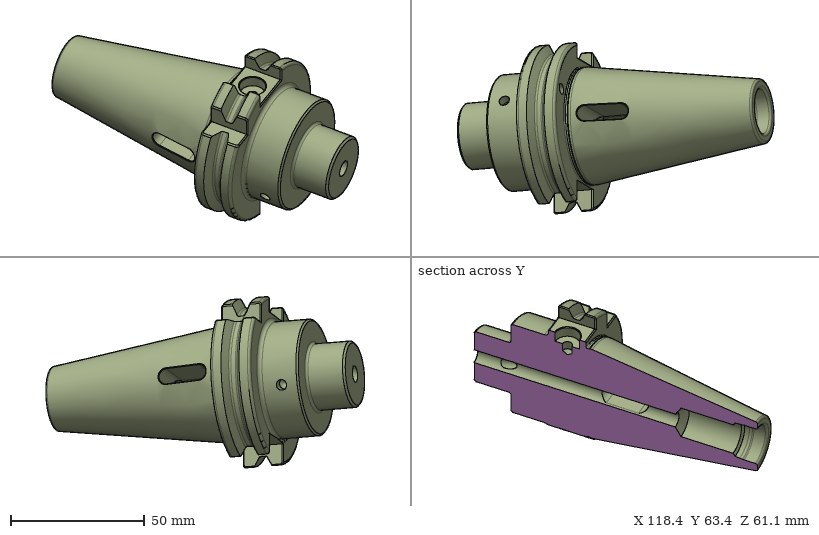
import cadquery as cq
import math


total_length = 118.4
taper_length = 69.0
taper_large_radius = 22.3
taper_ratio = 7 / 24
small_end_radius = taper_large_radius - taper_length * taper_ratio / 2
small_end_fillet = 1.0
gauge_land_end = 70.0
neck_start = 70.3
neck_radius = 22.0
neck_fillet = 0.5
collar_radius = 22.0
collar_end = 103.0
collar_fillet = 1.5
collar_chamfer = 0.7
spigot_radius = 12.5
spigot_base_fillet = 1.0
spigot_chamfer = 0.8

flange_start = 71.5
flange_width = 15.9
flange_end = flange_start + flange_width
flange_middle = flange_start + flange_width / 2
flange_radius = 31.7
flange_rim_fillet = 1.1
groove_mouth = 7.1
groove_floor_radius = 28.0
groove_half_angle = math.radians(30)
groove_fillet = 0.89

slot_width = 16.1
top_slot_floor = 25.0
bottom_slot_floor = 22.5
notch_corner = 18.4
cut_chamfer = 0.5

bore_mouth_fillet = 1.0
counterbore_radius = 8.5
counterbore_depth = 5.7
seat_radius = 8.4
seat_start = 6.3
seat_end = 7.5
funnel_radius = 8.2
funnel_end = 9.4
thread_radius = 7.0
thread_start = 10.2
thread_depth = 32.0
through_radius = 3.1
drill_half_angle = math.radians(59)

cross_slot_middle = 56.8
cross_slot_length = 19.4
cross_slot_width = 5.9
cross_slot_chamfer = 0.3

chip_radius = 5.0
chip_chamfer = 0.3
chip_depth = 4.5
chip_pilot_radius = 1.9
chip_pilot_depth = 3.5

channel_radius = 1.9
channel_tilt = 20
channel_mouth_offset = 26.6
channel_slope = math.radians(35)
channel_lead = 4.7
side_hole_radius = 2.0
side_hole_x = 96.1
side_hole_depth = 4.1

tolerance = 0.01


def revolve_about_x(outline):
    """Close an open half outline and turn it about the X axis."""
    return outline.close().revolve(360, (0, 0, 0), (1, 0, 0))


def fillet_sag(radius):
    """Distance along each side from a right-angle corner to the middle of its fillet arc."""
    return radius * (1 - math.sqrt(0.5))


def fillet_corners(solid, x, radius, fillet):
    """Fillet the circular edge of the given radius that lies at x."""
    box = cq.selectors.BoxSelector(
        (x - tolerance, -radius - tolerance, -radius - tolerance),
        (x + tolerance, radius + tolerance, radius + tolerance),
        boundingbox=True,
    )
    edges = solid.edges("%CIRCLE").edges(box)
    circles = [edge for edge in edges.vals() if abs(edge.radius() - radius) < tolerance]
    return solid.newObject(circles).fillet(fillet)


def make_shank():
    """Taper, neck, collar and spigot as one turned body, with fillets up to the flange sides."""
    neck_sag = fillet_sag(neck_fillet)
    neck_arc_middle = (flange_start - neck_sag, neck_radius + neck_sag)
    collar_sag = fillet_sag(collar_fillet)
    collar_arc_middle = (flange_end + collar_sag, collar_radius + collar_sag)
    outline = (
        cq.Workplane("XZ")
        .lineTo(0, small_end_radius)
        .lineTo(taper_length, taper_large_radius)
        .lineTo(gauge_land_end, taper_large_radius)
        .lineTo(neck_start, neck_radius)
        .lineTo(flange_start - neck_fillet, neck_radius)
        .threePointArc(neck_arc_middle, (flange_start, neck_radius + neck_fillet))
        .lineTo(flange_end, collar_radius + collar_fillet)
        .threePointArc(collar_arc_middle, (flange_end + collar_fillet, collar_radius))
        .lineTo(collar_end - collar_chamfer, collar_radius)
        .lineTo(collar_end, collar_radius - collar_chamfer)
        .lineTo(collar_end, spigot_radius)
        .lineTo(total_length - spigot_chamfer, spigot_radius)
        .lineTo(total_length, spigot_radius - spigot_chamfer)
        .lineTo(total_length, 0)
    )
    shank = revolve_about_x(outline)
    shank = fillet_corners(shank, 0, small_end_radius, small_end_fillet)
    shank = fillet_corners(shank, collar_end, spigot_radius, spigot_base_fillet)
    for cutter in make_flange_cutters():
        shank = shank.cut(cutter)
    return shank


def make_flange_cutters():
    """Top drive slot, bottom drive slot and corner notch, all open along X."""
    reach = flange_radius
    length = 2 * flange_width
    slot = cq.Workplane("XY").box(length, slot_width, reach, centered=(True, True, False))
    top_slot = slot.translate((flange_middle, 0, top_slot_floor))
    bottom_slot = slot.translate((flange_middle, 0, -bottom_slot_floor - reach))
    notch = cq.Workplane("XY").box(length, reach, reach, centered=(True, False, False))
    notch = notch.translate((flange_middle, -notch_corner - reach, notch_corner))
    return [top_slot, bottom_slot, notch]


def make_flange():
    """Flange disc with its V groove, drive slots and notch."""
    groove_depth = flange_radius - groove_floor_radius
    half_mouth = groove_mouth / 2
    half_floor = half_mouth - groove_depth * math.tan(groove_half_angle)
    outline = (
        cq.Workplane("XZ")
        .moveTo(flange_start, 0)
        .lineTo(flange_start, flange_radius)
        .lineTo(flange_middle - half_mouth, flange_radius)
        .lineTo(flange_middle - half_floor, groove_floor_radius)
        .lineTo(flange_middle + half_floor, groove_floor_radius)
        .lineTo(flange_middle + half_mouth, flange_radius)
        .lineTo(flange_end, flange_radius)
        .lineTo(flange_end, 0)
    )
    flange = revolve_about_x(outline)
    for side in (-1, 1):
        flange = fillet_corners(flange, flange_middle + side * half_floor, groove_floor_radius, groove_fillet)
    for x in (flange_start, flange_end):
        flange = fillet_corners(flange, x, flange_radius, flange_rim_fillet)

    for cutter in make_flange_cutters():
        flange = flange.cut(cutter)
    for face in ("<X", ">X"):
        cut_edges = flange.faces(face).edges("%LINE")
        broken = [edge for edge in cut_edges.vals() if abs(edge.Center().z + bottom_slot_floor) > cut_chamfer]
        flange = flange.newObject(broken).chamfer(cut_chamfer)
    return flange


def make_bore():
    """Counterbore, stepped lead-in, thread core and through hole as one cutting body."""
    mouth_sag = fillet_sag(bore_mouth_fillet)
    drill_tip = (thread_radius - through_radius) / math.tan(drill_half_angle)
    outline = (
        cq.Workplane("XZ")
        .lineTo(0, counterbore_radius + bore_mouth_fillet)
        .threePointArc((mouth_sag, counterbore_radius + mouth_sag), (bore_mouth_fillet, counterbore_radius))
        .lineTo(counterbore_depth, counterbore_radius)
        .lineTo(seat_start, seat_radius)
        .lineTo(seat_end, seat_radius)
        .lineTo(funnel_end, funnel_radius)
        .lineTo(thread_start, thread_radius)
        .lineTo(thread_depth, thread_radius)
        .lineTo(thread_depth + drill_tip, through_radius)
        .lineTo(total_length, through_radius)
        .lineTo(total_length, 0)
    )
    return revolve_about_x(outline)


def cone_pocket(radius, depth):
    """Round hole going down from Z = 0 and ending in a drill point."""
    outline = (
        cq.Workplane("XZ")
        .lineTo(radius, 0)
        .lineTo(radius, -depth)
        .lineTo(0, -depth - radius / math.tan(drill_half_angle))
    )
    return outline.close().revolve(360, (0, 0, 0), (0, 1, 0))


def make_chip_pocket():
    """Flat pocket with a chamfered mouth and a small drilled centre."""
    mouth = (
        cq.Workplane("XZ")
        .lineTo(chip_radius + chip_chamfer, 0)
        .lineTo(chip_radius, -chip_chamfer)
        .lineTo(chip_radius, -chip_depth)
        .lineTo(0, -chip_depth)
    )
    pocket = mouth.close().revolve(360, (0, 0, 0), (0, 1, 0))
    pilot = cone_pocket(chip_pilot_radius, chip_pilot_depth).translate((0, 0, -chip_depth))
    return pocket.union(pilot).translate((flange_middle, 0, top_slot_floor))


def make_coolant_channel():
    """Hole sloping from the front face of the flange down to the axis."""
    inward = cq.Vector(math.cos(channel_slope), 0, -math.sin(channel_slope))
    mouth = cq.Vector(flange_start, 0, channel_mouth_offset)
    start = mouth - inward * channel_lead
    length = channel_lead + channel_mouth_offset / math.sin(channel_slope)
    return cq.Workplane(cq.Solid.makeCylinder(channel_radius, length, start, inward))


def make_side_hole():
    """Blind drilled hole going radially into the collar."""
    hole = cone_pocket(side_hole_radius, side_hole_depth)
    return hole.translate((side_hole_x, 0, collar_radius))


def make_cross_slot(body):
    """Cut the slot along Y through the taper and break its outer edges."""
    slot = (
        cq.Workplane("XZ")
        .center(cross_slot_middle, 0)
        .slot2D(cross_slot_length, cross_slot_width)
        .extrude(taper_large_radius, both=True)
    )
    body = body.cut(slot)
    half_length = cross_slot_length / 2 + cross_slot_chamfer
    half_width = cross_slot_width / 2 + cross_slot_chamfer
    for side in (-1, 1):
        rim = cq.selectors.BoxSelector(
            (cross_slot_middle - half_length, 0, -half_width),
            (cross_slot_middle + half_length, side * taper_large_radius, half_width),
            boundingbox=True,
        )
        body = body.edges(rim).chamfer(cross_slot_chamfer)
    return body


result = make_shank().union(make_flange())
result = make_cross_slot(result)
result = result.cut(make_bore())
result = result.cut(make_chip_pocket())
for turn in (channel_tilt - 90, channel_tilt + 90):
    for hole in (make_coolant_channel(), make_side_hole()):
        result = result.cut(hole.rotate((0, 0, 0), (1, 0, 0), turn))